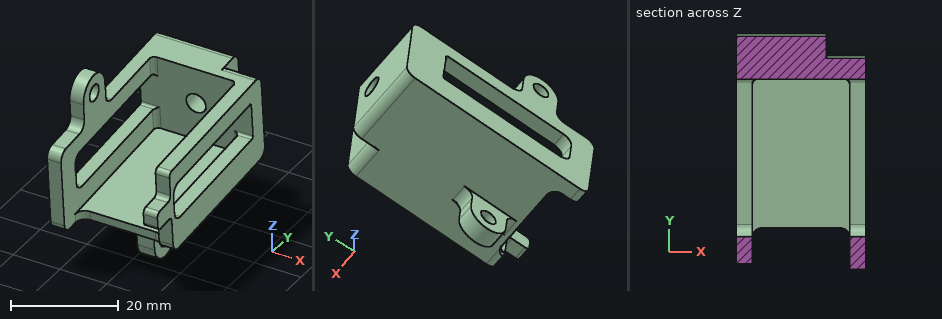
import cadquery as cq
import math

TILT = 5.0

WIDTH = 24.0
WALL = 3.0
BODY_HEIGHT = 18.5
FLOOR_THICKNESS = 2.0
FLOOR_FRONT = 36.1
FLOOR_CORNER_RADIUS = 2.0
BLOCK_DEPTH = 8.0
POCKET_CORNER_RADIUS = 1.0
OUTER_RADIUS = 2.0

LEFT_LENGTH = 42.0

RIGHT_LENGTH = 38.1
RIGHT_TOP_RADIUS = 1.0
NOTCH_DEPTH = 4.0
NOTCH_X = 16.75

TAB_LENGTH = 5.0
TAB_HEIGHT = 4.0
TAB_DROP = 6.0
TAB_RADIUS = 1.0

WINDOW_FRONT = 37.0
WINDOW_HEIGHT = 8.0
WINDOW_DROP = 4.0
WINDOW_BACK_RADIUS = 0.5
WINDOW_FRONT_RADIUS = 2.0

EAR_Y = 29.0
UPPER_EAR_REACH = 5.5
LOWER_EAR_REACH = 5.0
EAR_RADIUS = 4.0
EAR_HOLE_DIAMETER = 3.4
EAR_ROOT_RADIUS = 2.0
EAR_FOOT_LENGTH = 13.0
EAR_EMBED = FLOOR_THICKNESS
LOWER_EAR_THICKNESS = 3.75

BACK_HOLE_DIAMETER = 4.2
BACK_HOLE_DROP = 8.0


def box(x_range, y_range, z_range):
    """Box from coordinate ranges; y is counted forward (toward -Y) from the back face."""
    x0, x1 = x_range
    y0, y1 = y_range
    z0, z1 = z_range
    return cq.Workplane("XY").box(x1 - x0, y1 - y0, z1 - z0, centered=False).translate((x0, -y1, z0))


def round_edge(solid, x, y, z, radius):
    """Fillet the edge along X that passes nearest to the given point; y is counted forward."""
    return solid.edges("|X").edges(cq.selectors.NearestToPointSelector((x, -y, z))).fillet(radius)


def ear(x_range, base_z, reach):
    """Rounded lug with root fillets and a cross hole; reach is signed, from base_z to the hole centre."""
    x0, x1 = x_range
    x_mid = (x0 + x1) / 2
    hole_z = base_z + reach
    root_depth = base_z - math.copysign(EAR_EMBED, reach)
    half_foot = EAR_FOOT_LENGTH / 2
    base = box(x_range, (EAR_Y - half_foot, EAR_Y + half_foot), sorted((base_z, root_depth)))
    stem = box(x_range, (EAR_Y - EAR_RADIUS, EAR_Y + EAR_RADIUS), sorted((root_depth, hole_z)))
    tip = cq.Workplane("YZ", origin=(x0, -EAR_Y, hole_z)).circle(EAR_RADIUS).extrude(x1 - x0)
    hole = cq.Workplane("YZ", origin=(x0, -EAR_Y, hole_z)).circle(EAR_HOLE_DIAMETER / 2).extrude(x1 - x0)
    lug = base.union(stem)
    for side in (-EAR_RADIUS, EAR_RADIUS):
        lug = round_edge(lug, x_mid, EAR_Y + side, base_z, EAR_ROOT_RADIUS)
    return lug.union(tip).cut(hole)


def left_plate():
    """Full-length side plate carrying the upper ear."""
    plate = box((0, WALL), (0, LEFT_LENGTH), (-BODY_HEIGHT, 0)).edges("|X").fillet(OUTER_RADIUS)
    return plate.union(ear((0, WALL), 0, UPPER_EAR_REACH))


def right_wall():
    """Shorter side wall with a blended tab on its front edge."""
    x_range = (WIDTH - WALL, WIDTH)
    x_mid = WIDTH - WALL / 2
    tab_top = -TAB_DROP
    tab_bottom = tab_top - TAB_HEIGHT
    tab_end = RIGHT_LENGTH + TAB_LENGTH
    wall = box(x_range, (NOTCH_DEPTH, RIGHT_LENGTH), (-BODY_HEIGHT, 0))
    wall = wall.union(box(x_range, (BLOCK_DEPTH, tab_end), (tab_bottom, tab_top)))
    for z in (tab_top, tab_bottom):
        for y in (RIGHT_LENGTH, tab_end):
            wall = round_edge(wall, x_mid, y, z, TAB_RADIUS)
    wall = round_edge(wall, x_mid, RIGHT_LENGTH, 0, RIGHT_TOP_RADIUS)
    wall = round_edge(wall, x_mid, RIGHT_LENGTH, -BODY_HEIGHT, OUTER_RADIUS)
    for z in (0, -BODY_HEIGHT):
        wall = round_edge(wall, x_mid, NOTCH_DEPTH, z, OUTER_RADIUS)
    return wall


def back_block():
    """Solid end block in two steps, the right-hand step set forward by the notch."""
    deep = box((0, NOTCH_X), (0, BLOCK_DEPTH), (-BODY_HEIGHT, 0))
    deep = deep.edges("|X and >Y").fillet(OUTER_RADIUS)
    shallow = box((NOTCH_X, WIDTH), (NOTCH_DEPTH, BLOCK_DEPTH), (-BODY_HEIGHT, 0))
    shallow = shallow.edges("|X and >Y").fillet(OUTER_RADIUS)
    return deep.union(shallow)


def corner_fillet(x, y, inward, radius, z_range):
    """Concave upright fillet at (x, y), growing forward and inward (+1 or -1 along X)."""
    x_far = x + inward * radius
    y_far = y + radius
    square = box(sorted((x, x_far)), (y, y_far), z_range)
    height = z_range[1] - z_range[0]
    core = cq.Workplane("XY", origin=(x_far, -y_far, z_range[0])).circle(radius).extrude(height)
    return square.cut(core)


def floor_and_corners():
    """Floor between the walls, with its front corners and the pocket's back corners filleted."""
    floor_z = (-BODY_HEIGHT, FLOOR_THICKNESS - BODY_HEIGHT)
    parts = box((WALL, WIDTH - WALL), (BLOCK_DEPTH, FLOOR_FRONT), floor_z)
    left_corner = corner_fillet(WALL, FLOOR_FRONT, 1, FLOOR_CORNER_RADIUS, floor_z)
    right_corner = corner_fillet(WIDTH - WALL, FLOOR_FRONT, -1, FLOOR_CORNER_RADIUS, floor_z)
    rounded_envelope = box((0, WIDTH), (0, RIGHT_LENGTH), (-BODY_HEIGHT, 0)).edges("|X").fillet(OUTER_RADIUS)
    parts = parts.union(left_corner).union(right_corner.intersect(rounded_envelope))
    for x, inward in ((WALL, 1), (WIDTH - WALL, -1)):
        pocket_corner = corner_fillet(x, BLOCK_DEPTH, inward, POCKET_CORNER_RADIUS, (-BODY_HEIGHT, 0))
        parts = parts.union(pocket_corner)
    return parts


def side_windows():
    """Window cut through both walls, starting flush with the block's front face."""
    z_range = (-WINDOW_DROP - WINDOW_HEIGHT, -WINDOW_DROP)
    window = box((0, WIDTH), (BLOCK_DEPTH, WINDOW_FRONT), z_range)
    window = window.edges("|X and >Y").fillet(WINDOW_BACK_RADIUS)
    return window.edges("|X and <Y").fillet(WINDOW_FRONT_RADIUS)


def back_hole():
    """Round hole along Y through the back block."""
    start = cq.Workplane("XZ", origin=(WIDTH / 2, 0, -BACK_HOLE_DROP))
    return start.circle(BACK_HOLE_DIAMETER / 2).extrude(BLOCK_DEPTH)


body = back_block().union(floor_and_corners()).union(left_plate()).union(right_wall())
body = body.cut(side_windows()).cut(back_hole())
lower_ear = ear((NOTCH_X - LOWER_EAR_THICKNESS, NOTCH_X), -BODY_HEIGHT, -LOWER_EAR_REACH)
body = body.union(lower_ear)
result = body.rotate((0, 0, 0), (1, 0, 0), TILT)